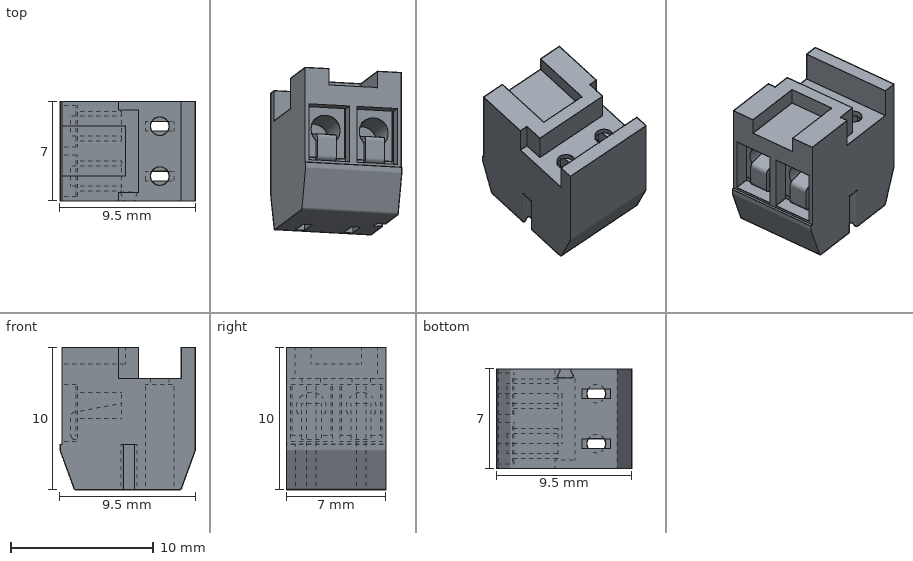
import cadquery as cq
import math


length = 9.5
width = 7.0
height = 10.0
pole_pitch = 3.5
pole_positions = (-pole_pitch / 2, pole_pitch / 2)

front_face_x = 0.13
ledge_z = 3.22
ledge_drop = 0.045
taper_start_z = 2.78
taper_angle = math.radians(20)
taper_inset = taper_start_z * math.tan(taper_angle)
shoulder_radius = 0.25
base_edge_radius = 0.18

channel_floor_z = height - 2.17
rear_wall_thickness = 1.0
channel_step_x = 4.12
tongue_end_x = 5.51
tongue_side_inset = 0.6

pocket_width = 3.52
pocket_end_x = 4.6
pocket_depth = 1.17

screw_hole_x = 7.0
screw_hole_diameter = 1.3
screw_hole_depth = 0.42
base_slot_width = 0.66
base_slot_length = 2.0

groove_x = 4.84
groove_top_z = 3.18
groove_depth = 0.63
groove_mouth_half_width = 0.31
groove_floor_half_width = 0.62
groove_lip_radius = 0.11
groove_root_radius = 0.1

window_side_wall = 0.3
window_middle_wall = 0.55
window_width = (width - window_middle_wall) / 2 - window_side_wall
window_offset_y = (window_middle_wall + window_width) / 2
window_bottom_z = 3.4
window_top_z = 7.4
window_depth = 1.1

pad_side_gap = 0.09
pad_bottom_gap = 0.4
pad_thickness = 0.12

entry_diameter = 2.1
entry_z = 5.8
entry_end_x = 4.3
clip_width = 1.4
clip_front_x = front_face_x + 0.62
clip_bottom_z = 3.52
clip_top_z = 5.48
clip_rise = 0.58
clip_radius = 0.35


def box(x_range, y_range, z_range):
    """Axis-aligned box between the given pairs of limits."""
    size = [high - low for low, high in (x_range, y_range, z_range)]
    corner = (x_range[0], y_range[0], z_range[0])
    return cq.Workplane("XY").box(*size, centered=False).translate(corner)


def make_body():
    """Side profile with the ledge and tapered base, extruded across the width."""
    body = (
        cq.Workplane("XZ", origin=(0, width / 2, 0))
        .moveTo(taper_inset, 0)
        .lineTo(length - taper_inset, 0)
        .lineTo(length, taper_start_z)
        .lineTo(length, height)
        .lineTo(front_face_x, height)
        .lineTo(front_face_x, ledge_z)
        .lineTo(0, ledge_z - ledge_drop)
        .lineTo(0, taper_start_z)
        .close()
        .extrude(width)
    )
    for x in (0, length):
        shoulder = cq.selectors.NearestToPointSelector((x, 0, taper_start_z))
        body = body.edges(shoulder).fillet(shoulder_radius)
    for x in (taper_inset, length - taper_inset):
        base_edge = cq.selectors.NearestToPointSelector((x, 0, 0))
        body = body.edges(base_edge).fillet(base_edge_radius)
    return body


def make_channel():
    """Channel in front of the rear wall, with the tongue left standing."""
    z_range = (channel_floor_z, height)
    tongue_half_width = width / 2 - tongue_side_inset
    channel = box((channel_step_x, length - rear_wall_thickness), (-width / 2, width / 2), z_range)
    tongue = box((channel_step_x, tongue_end_x), (-tongue_half_width, tongue_half_width), z_range)
    return channel.cut(tongue)


def make_pocket():
    """Shallow pocket in the top face."""
    y_range = (-pocket_width / 2, pocket_width / 2)
    return box((0, pocket_end_x), y_range, (height - pocket_depth, height))


def make_screw_access(y):
    """Round hole in the channel floor with a slot through to the base."""
    shelf_z = channel_floor_z - screw_hole_depth
    hole = (
        cq.Workplane("XY", origin=(screw_hole_x, y, shelf_z))
        .circle(screw_hole_diameter / 2)
        .extrude(screw_hole_depth)
    )
    slot = (
        cq.Workplane("XY", origin=(screw_hole_x, y, 0))
        .rect(base_slot_length, base_slot_width)
        .extrude(shelf_z)
    )
    return hole.union(slot)


def cut_groove(body):
    """Dovetail groove with rounded root corners and lips."""
    side_y = -width / 2
    groove = (
        cq.Workplane("XY", origin=(groove_x, side_y, 0))
        .moveTo(-groove_mouth_half_width, 0)
        .lineTo(groove_mouth_half_width, 0)
        .lineTo(groove_floor_half_width, groove_depth)
        .lineTo(-groove_floor_half_width, groove_depth)
        .close()
        .extrude(groove_top_z)
        .edges("|Z and >Y")
        .fillet(groove_root_radius)
    )
    body = body.cut(groove)
    for side in (-1, 1):
        lip_point = (groove_x + side * groove_mouth_half_width, side_y, groove_top_z / 2)
        lip = cq.selectors.NearestToPointSelector(lip_point)
        body = body.edges("|Z").edges(lip).fillet(groove_lip_radius)
    return body


def make_wire_opening(window_y, pole_y):
    """Window with its raised pad left standing, joined by the round wire entry."""
    half_width = window_width / 2
    pad_half_width = half_width - pad_side_gap
    back_x = front_face_x + window_depth
    pad_x = back_x - pad_thickness
    window = box(
        (front_face_x, back_x),
        (window_y - half_width, window_y + half_width),
        (window_bottom_z, window_top_z),
    )
    pad = box(
        (pad_x, back_x),
        (window_y - pad_half_width, window_y + pad_half_width),
        (window_bottom_z + pad_bottom_gap, window_top_z),
    )
    entry = (
        cq.Workplane("YZ", origin=(pad_x, pole_y, entry_z))
        .circle(entry_diameter / 2)
        .extrude(entry_end_x - pad_x)
    )
    return window.cut(pad).union(entry)


def make_clip(pole_y):
    """Clip with rounded front edges, its top rising towards the end of the entry."""
    top_start_x = clip_front_x + clip_radius
    return (
        cq.Workplane("XZ", origin=(0, pole_y + clip_width / 2, 0))
        .moveTo(entry_end_x, clip_bottom_z)
        .lineTo(top_start_x, clip_bottom_z)
        .radiusArc((clip_front_x, clip_bottom_z + clip_radius), clip_radius)
        .lineTo(clip_front_x, clip_top_z - clip_radius)
        .radiusArc((top_start_x, clip_top_z), clip_radius)
        .lineTo(entry_end_x, clip_top_z + clip_rise)
        .close()
        .extrude(clip_width)
    )


result = cut_groove(make_body()).cut(make_channel()).cut(make_pocket())
for pole_y in pole_positions:
    window_y = math.copysign(window_offset_y, pole_y)
    result = result.cut(make_screw_access(pole_y))
    result = result.cut(make_wire_opening(window_y, pole_y))
    result = result.union(make_clip(pole_y))